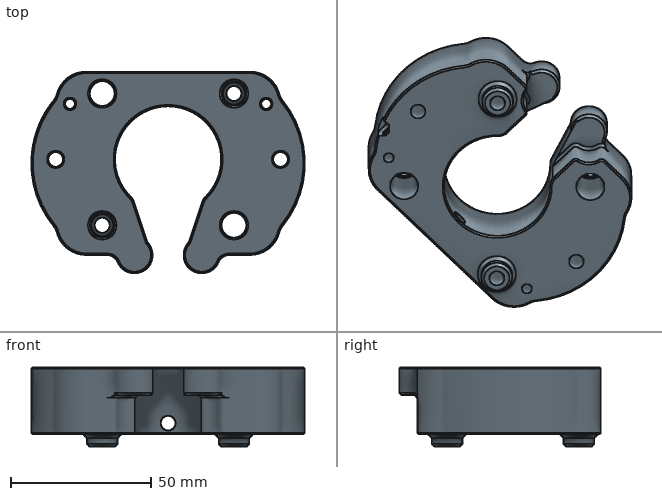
import cadquery as cq
import math

thickness = 24.0
plate_depth = 65.5
plate_center_y = -1.4
plate_half_width = 40.1
corner_radius = 11.0
width = 97.67
flank_radius = 35.3
flank_blend_radius = 6.0
edge_chamfer = 0.6
front_y = plate_center_y - plate_depth / 2
back_y = plate_center_y + plate_depth / 2

bore_radius = 18.9
slot_inner = (11.7, -16.6)
slot_outer = (7.3, -29.8)
slot_blend_radius = 4.0

horn_x = 12.0
horn_radius = 6.5
horn_thickness = 10.0
horn_blend_radius = 4.0
horn_edge_chamfer = 0.9
horn_bottom_z = thickness - horn_thickness

relief_radius = 6.6
relief_slot_half_width = 11.9
relief_blend_radius = 1.7
relief_chamfer = 1.0

screw_pitch = 47.0
screw_diameter = 5.3
counterbore_diameter = 8.8
counterbore_depth = 12.0
counterbore_floor_bevel = 0.5
screw_chamfer = 0.7
lip_depth = 2.0
clearance_diameter = 10.0
boss_diameter = 11.0
boss_height = 4.4
boss_flare = 1.3
boss_chamfer = 1.0

side_hole_diameter = 5.2
side_hole_x = 40.1
corner_hole_diameter = 3.5
corner_hole_x = 35.0
corner_hole_y = 19.8
small_hole_chamfer = 0.5

cross_hole_diameter = 5.2
cross_hole_z = 4.0
notch_y = 13.8
notch_width = 5.6
notch_height = 4.3
notch_depth = 3.0
notch_corner_radius = 1.7
notch_end_bevel = 1.2

SIDES = (-1, 1)
reach = 100.0
overshoot = 1.0
tolerance = 0.05


def column(x, y, radius, z0, z1):
    """Upright cylinder from z0 to z1."""
    return cq.Workplane("XY", origin=(x, y, z0)).circle(radius).extrude(z1 - z0)


def block(x0, x1, y0, y1, z0, z1):
    """Axis-aligned box between two corners."""
    return cq.Workplane("XY").box(x1 - x0, y1 - y0, z1 - z0, centered=False).translate((x0, y0, z0))


def fillet_uprights(body, points, radius):
    """Round the upright edges that stand at the given (x, y) points."""
    for x, y in points:
        corner = cq.selectors.BoxSelector(
            (x - tolerance, y - tolerance, -reach), (x + tolerance, y + tolerance, reach)
        )
        body = body.edges("|Z").edges(corner).fillet(radius)
    return body


def make_plate():
    bar = block(-plate_half_width, plate_half_width, front_y, back_y, 0, thickness)
    plate = bar.edges("|Z").fillet(corner_radius)
    flank_x = width / 2 - flank_radius
    band = block(-reach, reach, front_y, back_y, 0, thickness)
    for side in SIDES:
        flank = column(side * flank_x, plate_center_y, flank_radius, 0, thickness)
        plate = plate.union(flank.intersect(band))
    dx = plate_half_width - corner_radius - flank_x
    dy = plate_depth / 2 - corner_radius
    distance = math.hypot(dx, dy)
    along = (distance**2 + flank_radius**2 - corner_radius**2) / (2 * distance)
    angle = math.atan2(dy, dx) - math.acos(along / flank_radius)
    x = flank_x + flank_radius * math.cos(angle)
    y = flank_radius * math.sin(angle)
    joints = [(i * x, plate_center_y + j * y) for i in SIDES for j in SIDES]
    return fillet_uprights(plate, joints, flank_blend_radius)


def slot_half_width(y):
    slope = (slot_outer[0] - slot_inner[0]) / (slot_outer[1] - slot_inner[1])
    return slot_inner[0] + slope * (y - slot_inner[1])


def cut_bore_and_slot(plate):
    slot_end_y = front_y - horn_radius
    mouth = [(slot_half_width(0), 0), (slot_half_width(slot_end_y), slot_end_y)]
    points = mouth + [(-x, y) for x, y in reversed(mouth)]
    slot = cq.Workplane("XY").polyline(points).close().extrude(thickness)
    opening = column(0, 0, bore_radius, 0, thickness).union(slot)
    slope = math.atan2(slot_inner[0] - slot_outer[0], slot_inner[1] - slot_outer[1])
    offset = slot_half_width(0) * math.cos(slope)
    angle = -slope - math.acos(offset / bore_radius)
    x = bore_radius * math.cos(angle)
    y = bore_radius * math.sin(angle)
    opening = fillet_uprights(opening, [(side * x, y) for side in SIDES], slot_blend_radius)
    return plate.cut(opening)


def add_horns(plate):
    """Full-height horns, blended into the front face."""
    for side in SIDES:
        plate = plate.union(column(side * horn_x, front_y, horn_radius, 0, thickness))
    joints = [(side * (horn_x + horn_radius), front_y) for side in SIDES]
    return fillet_uprights(plate, joints, horn_blend_radius)


def make_horn_tops(horned_plate):
    """Upper part of the horned plate, beveled all along its lower rim."""
    tops = horned_plate.intersect(block(-reach, reach, -reach, reach, horn_bottom_z, thickness))
    return tops.faces("<Z").edges().chamfer(horn_edge_chamfer)


def make_horn_roots(horned_plate):
    """Unbeveled strips where the horn blends run into the front face."""
    front = front_y - relief_chamfer
    bottom = horn_bottom_z - relief_chamfer
    strips = block(-reach, -horn_x, front, front_y, bottom, thickness)
    strips = strips.union(block(horn_x, reach, front, front_y, bottom, thickness))
    return horned_plate.intersect(strips)


def make_relief():
    """Space below the horns, with its walls leaning out at the top."""
    relief_back_y = slot_inner[1] + slot_blend_radius
    relief = block(-reach / 2, reach / 2, front_y - 2 * horn_radius, front_y, -overshoot, horn_bottom_z)
    wall_x = relief_slot_half_width
    relief = relief.union(block(-wall_x, wall_x, front_y, relief_back_y, -overshoot, horn_bottom_z))
    for side in SIDES:
        relief = relief.union(column(side * horn_x, front_y, relief_radius, -overshoot, horn_bottom_z))
    rise = math.sqrt(relief_radius**2 - (horn_x - wall_x) ** 2)
    joints = [(side * (horn_x + relief_radius), front_y) for side in SIDES]
    joints += [(side * wall_x, front_y + rise) for side in SIDES]
    relief = fillet_uprights(relief, joints, relief_blend_radius)
    return relief.faces(">Z").edges().chamfer(relief_chamfer)


def cut_notch(body):
    """Shallow notch in the -X flank, open at the bottom, with a beveled inner end."""
    flank_x = width / 2 - flank_radius
    outer_x = -flank_x - math.sqrt(flank_radius**2 - (notch_y - plate_center_y) ** 2)
    end_x = outer_x + notch_depth
    y0 = notch_y - notch_width / 2
    y1 = notch_y + notch_width / 2
    notch = block(outer_x - notch_depth, end_x, y0, y1, -notch_height, notch_height)
    notch = notch.edges("|X and >Z").fillet(notch_corner_radius)
    notch = notch.faces(">X").edges().chamfer(notch_end_bevel)
    body = body.cut(notch)
    floor_edge = cq.selectors.BoxSelector(
        (end_x - tolerance, y0, -tolerance), (end_x + tolerance, y1, tolerance)
    )
    return body.edges(floor_edge).chamfer(edge_chamfer)


def make_body():
    plate = cut_bore_and_slot(make_plate())
    horned_plate = add_horns(plate)
    body = plate.union(make_horn_roots(horned_plate)).cut(make_relief())
    body = body.union(make_horn_tops(horned_plate))
    body = body.faces(">Z").edges().chamfer(edge_chamfer)
    body = body.faces("<Z").edges().chamfer(edge_chamfer)
    return cut_notch(body)


def chamfered_hole(x, y, diameter, chamfer):
    """Cutter for a hole through the plate with a chamfer at the top."""
    radius = diameter / 2
    mouth = cq.Workplane("XY", origin=(x, y, thickness)).circle(radius + chamfer)
    mouth = mouth.workplane(offset=-chamfer).circle(radius).loft(combine=True)
    return column(x, y, radius, -boss_height, thickness).union(mouth)


def make_boss(x, y):
    radius = boss_diameter / 2
    profile = [
        (0, 0),
        (radius + boss_flare, 0),
        (radius, -boss_flare),
        (radius, boss_chamfer - boss_height),
        (radius - boss_chamfer, -boss_height),
        (0, -boss_height),
    ]
    boss = cq.Workplane("XZ").polyline(profile).close().revolve(360, (0, 0, 0), (0, 1, 0))
    return boss.translate((x, y, 0))


def add_screw_points(body):
    offset = screw_pitch / 2
    floor_z = thickness - counterbore_depth
    for side in SIDES:
        x = side * offset
        y = side * offset
        body = body.union(make_boss(x, y))
        head = chamfered_hole(x, y, counterbore_diameter, screw_chamfer)
        head = head.intersect(block(-reach, reach, -reach, reach, floor_z, thickness))
        head = head.faces("<Z").edges().chamfer(counterbore_floor_bevel)
        body = body.cut(head).cut(column(x, y, screw_diameter / 2, -boss_height, thickness))
        body = body.cut(chamfered_hole(x, -y, counterbore_diameter, screw_chamfer))
        body = body.cut(column(x, -y, clearance_diameter / 2, 0, thickness - lip_depth))
    return body


def cut_small_holes(body):
    for side in SIDES:
        body = body.cut(chamfered_hole(side * side_hole_x, 0, side_hole_diameter, small_hole_chamfer))
        corner = chamfered_hole(
            side * corner_hole_x, corner_hole_y, corner_hole_diameter, small_hole_chamfer
        )
        body = body.cut(corner)
    cross = cq.Workplane("XZ", origin=(0, 0, cross_hole_z)).circle(cross_hole_diameter / 2).extrude(-reach)
    return body.cut(cross)


result = cut_small_holes(add_screw_points(make_body()))